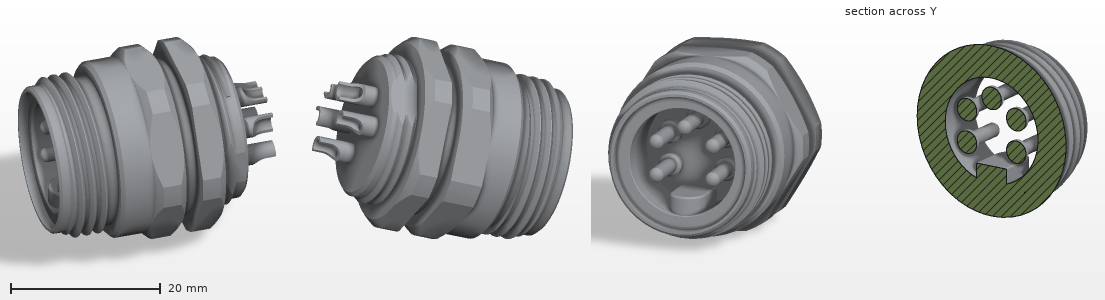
import cadquery as cq
import math


front_relief_end = 1.55
front_thread_end = 6.5
collar_front = 8.0
flange_front = 12.5
flange_rear = 17.0
nut_front = 19.0
nut_rear = 22.5
body_rear = 26.5
cup_rear = 31.5

rim_radius = 10.0
rim_chamfer = 0.35
front_root_radius = 10.15
front_crest_radius = 11.0
collar_radius = 11.98
collar_chamfer = 0.5
rear_root_radius = 9.6
rear_crest_radius = 10.2
rear_chamfer = 0.5
rear_flat_distance = 9.3

hex_across_flats = 24.0
hex_corner_radius = 13.0
hex_chamfer = 1.0
ring_section_radius = (nut_front - flange_rear) / 2
ring_outer_radius = 10.75

front_pitch = 1.5875
front_tooth_base = 1.17
front_helix_start = -0.25
front_thread_turns = 5
rear_pitch = 1.41
rear_tooth_base = 1.2
rear_helix_start = 21.26
rear_thread_turns = 2.83
rear_runout_start = 24.5
rear_runout_end = 25.45
crest_flat = 0.12

mouth_radius = 9.3
ledge_radius = 8.9
ledge_depth = 1.2
ledge_height = 0.1
bore_radius = 7.4
bore_edge_chamfer = 0.1
bore_floor = 8.65
key_width = 4.9
key_top = -4.85
key_front = 1.4
key_edge_fillet = 0.3

contact_circle_radius = 4.56
contact_radius = 1.0
contact_tip = 1.4
contact_dome_length = 0.75
contact_tip_flat = 0.15
insulator_radius = 1.6
insulator_top_radius = 1.3
insulator_front = 7.6

cup_radius = 1.4
cup_bore_radius = 0.95
cup_bore_depth = 3.2
scoop_flat_length = 1.4
scoop_radius = 1.85

contacts = [(90, 90), (30, 0), (150, 180), (-30, -90), (-150, -90)]


def revolve_about_y(profile):
    """Full turn of a closed (radius, Y) profile about the connector axis."""
    return profile.close().revolve(360, (0, 0, 0), (0, 1, 0))


def cylinder_y(radius, start, end):
    return cq.Workplane("XZ", origin=(0, start, 0)).circle(radius).extrude(start - end)


def make_body():
    profile = (
        cq.Workplane("XY")
        .moveTo(0, 0)
        .lineTo(rim_radius - rim_chamfer, 0)
        .lineTo(rim_radius, rim_chamfer)
        .lineTo(rim_radius, front_relief_end)
        .lineTo(front_root_radius, front_relief_end + front_root_radius - rim_radius)
        .lineTo(front_root_radius, collar_front)
        .lineTo(collar_radius - collar_chamfer, collar_front)
        .lineTo(collar_radius, collar_front + collar_chamfer)
        .lineTo(collar_radius, flange_front)
        .lineTo(rear_root_radius, flange_front)
        .lineTo(rear_root_radius, body_rear - rear_chamfer)
        .lineTo(rear_root_radius - rear_chamfer, body_rear)
        .lineTo(0, body_rear)
    )
    return revolve_about_y(profile)


def make_hexagon(front, rear, front_chamfer, rear_chamfer_size):
    """Hexagon with flats at +Z and -Z, corners turned round and faces chamfered."""
    corner_diameter = hex_across_flats / math.cos(math.radians(30))
    prism = cq.Workplane("XZ", origin=(0, front, 0)).polygon(6, corner_diameter).extrude(front - rear)
    envelope = (
        cq.Workplane("XY")
        .moveTo(0, front)
        .lineTo(hex_corner_radius - front_chamfer, front)
    )
    if front_chamfer > 0:
        envelope = envelope.lineTo(hex_corner_radius, front + front_chamfer)
    envelope = (
        envelope
        .lineTo(hex_corner_radius, rear - rear_chamfer_size)
    )
    if rear_chamfer_size > 0:
        envelope = envelope.lineTo(hex_corner_radius - rear_chamfer_size, rear)
    envelope = envelope.lineTo(0, rear)
    return prism.intersect(revolve_about_y(envelope))


def make_plain_flange_corner():
    """The -X, -Z corner of the flange hexagon, which keeps its full width without chamfers."""
    reach = 2 * hex_corner_radius
    corner_sector = (
        cq.Workplane("XZ", origin=(0, flange_front, 0))
        .polyline([(0, 0), (0, -reach), (-reach, -reach * math.tan(math.radians(30)))])
        .close()
        .extrude(flange_front - flange_rear)
    )
    return make_hexagon(flange_front, flange_rear, 0, 0).intersect(corner_sector)


def make_sealing_ring():
    centre_radius = ring_outer_radius - ring_section_radius
    centre_y = (flange_rear + nut_front) / 2
    section = cq.Workplane("XY").center(centre_radius, centre_y).circle(ring_section_radius)
    return section.revolve(360, (-centre_radius, 0, 0), (-centre_radius, 1, 0))


def make_thread(root_radius, crest_radius, pitch, tooth_base, start, turns):
    """Right-hand V thread whose tooth centre passes the +X side at Y = start."""
    overlap = 0.05
    flank_slope = (tooth_base - crest_flat) / 2 / (crest_radius - root_radius)
    half_base = tooth_base / 2 + overlap * flank_slope
    inner_radius = root_radius - overlap
    helix = cq.Wire.makeHelix(pitch, turns * pitch, inner_radius)
    tooth = (
        cq.Workplane("XZ")
        .moveTo(inner_radius, -half_base)
        .lineTo(crest_radius, -crest_flat / 2)
        .lineTo(crest_radius, crest_flat / 2)
        .lineTo(inner_radius, half_base)
        .close()
    )
    thread = tooth.sweep(cq.Workplane(helix), isFrenet=True)
    return thread.rotate((0, 0, 0), (1, 0, 0), -90).translate((0, start, 0))


def make_front_thread():
    """Front thread, led in by a 45 degree cone and cut off square at its rear end."""
    clearance = 0.1
    thread = make_thread(
        front_root_radius,
        front_crest_radius,
        front_pitch,
        front_tooth_base,
        front_helix_start,
        front_thread_turns,
    )
    outer_radius = front_crest_radius + clearance
    envelope = (
        cq.Workplane("XY")
        .moveTo(0, front_relief_end)
        .lineTo(rim_radius, front_relief_end)
        .lineTo(outer_radius, front_relief_end + outer_radius - rim_radius)
        .lineTo(outer_radius, front_thread_end)
        .lineTo(0, front_thread_end)
    )
    return thread.intersect(revolve_about_y(envelope))


def make_rear_thread():
    """Rear thread, starting inside the nut and fading out on a cone towards the rear end."""
    thread = make_thread(
        rear_root_radius,
        rear_crest_radius,
        rear_pitch,
        rear_tooth_base,
        rear_helix_start,
        rear_thread_turns,
    )
    clearance = 0.1
    hidden_start = nut_front
    envelope = (
        cq.Workplane("XY")
        .moveTo(0, hidden_start)
        .lineTo(rear_crest_radius + clearance, hidden_start)
        .lineTo(rear_crest_radius + clearance, rear_runout_start)
        .lineTo(rear_root_radius, rear_runout_end)
        .lineTo(0, rear_runout_end)
    )
    return thread.intersect(revolve_about_y(envelope))


def make_rear_flat_cutters():
    """Blocks that cut the two flats on the +X and -X sides of the rear thread."""
    depth = 2.0
    length = body_rear - nut_rear
    cutters = cq.Workplane("XY")
    for side in (-1, 1):
        centre = (side * (rear_flat_distance + depth / 2), nut_rear + length / 2, 0)
        cutters = cutters.add(cq.Workplane("XY").box(depth, length, hex_across_flats).translate(centre))
    return cutters.combine()


def make_socket():
    profile = (
        cq.Workplane("XY")
        .moveTo(0, 0)
        .lineTo(mouth_radius, 0)
        .lineTo(mouth_radius, ledge_depth + ledge_height)
        .lineTo(ledge_radius, ledge_depth + ledge_height)
        .lineTo(ledge_radius, ledge_depth)
        .lineTo(bore_radius + bore_edge_chamfer, ledge_depth)
        .lineTo(bore_radius, ledge_depth + bore_edge_chamfer)
        .lineTo(bore_radius, bore_floor)
        .lineTo(0, bore_floor)
    )
    return revolve_about_y(profile)


def make_key():
    """Round-nosed key standing on the bottom of the socket wall."""
    bottom = -(bore_radius + ledge_radius) / 2
    half_width = key_width / 2
    nose_centre = key_front + half_width
    key = (
        cq.Workplane("XY", origin=(0, 0, bottom))
        .moveTo(-half_width, bore_floor)
        .lineTo(-half_width, nose_centre)
        .threePointArc((0, key_front), (half_width, nose_centre))
        .lineTo(half_width, bore_floor)
        .close()
        .extrude(key_top - bottom)
        .faces(">Z")
        .fillet(key_edge_fillet)
    )
    return key.intersect(cylinder_y((bore_radius + ledge_radius) / 2, ledge_depth, bore_floor))


def make_contact():
    """Front contact pin on the axis, with its domed tip and insulator collar."""
    dome_radius = (contact_radius**2 + contact_dome_length**2) / (2 * contact_dome_length)
    tip_setback = dome_radius - math.sqrt(dome_radius**2 - contact_tip_flat**2)
    mid_radius = contact_radius / 2
    mid_setback = dome_radius - math.sqrt(dome_radius**2 - mid_radius**2)
    insulator_chamfer = insulator_radius - insulator_top_radius
    profile = (
        cq.Workplane("XY")
        .moveTo(0, contact_tip + tip_setback)
        .lineTo(contact_tip_flat, contact_tip + tip_setback)
        .threePointArc(
            (mid_radius, contact_tip + mid_setback),
            (contact_radius, contact_tip + contact_dome_length),
        )
        .lineTo(contact_radius, insulator_front)
        .lineTo(insulator_top_radius, insulator_front)
        .lineTo(insulator_radius, insulator_front + insulator_chamfer)
        .lineTo(insulator_radius, bore_floor + cup_radius)
        .lineTo(0, bore_floor + cup_radius)
    )
    return revolve_about_y(profile)


def make_solder_cup():
    """Solder cup on the axis, opening towards +X."""
    post = cylinder_y(cup_radius, body_rear - cup_radius, cup_rear)
    bore = cylinder_y(cup_bore_radius, cup_rear - cup_bore_depth, cup_rear)
    arc_start = cup_rear - scoop_flat_length
    scoop_arc_offset = scoop_radius * math.sqrt(0.5)
    scoop = (
        cq.Workplane("XY", origin=(0, 0, -cup_radius))
        .moveTo(0, cup_rear)
        .lineTo(0, arc_start)
        .threePointArc(
            (scoop_radius - scoop_arc_offset, arc_start - scoop_arc_offset),
            (scoop_radius, arc_start - scoop_radius),
        )
        .lineTo(scoop_radius, cup_rear)
        .close()
        .extrude(2 * cup_radius)
    )
    return post.cut(bore).cut(scoop)


result = make_body()
result = result.union(make_front_thread())
result = result.union(make_rear_thread())
result = result.cut(make_rear_flat_cutters())
result = result.union(make_hexagon(flange_front, flange_rear, hex_chamfer, hex_chamfer))
result = result.union(make_plain_flange_corner())
result = result.union(make_hexagon(nut_front, nut_rear, 0, hex_chamfer))
result = result.union(make_sealing_ring())
result = result.cut(make_socket())
result = result.union(make_key())

for position_angle, opening_angle in contacts:
    x = contact_circle_radius * math.cos(math.radians(position_angle))
    z = contact_circle_radius * math.sin(math.radians(position_angle))
    result = result.union(make_contact().translate((x, 0, z)))
    cup = make_solder_cup().rotate((0, 0, 0), (0, 1, 0), -opening_angle)
    result = result.union(cup.translate((x, 0, z)))